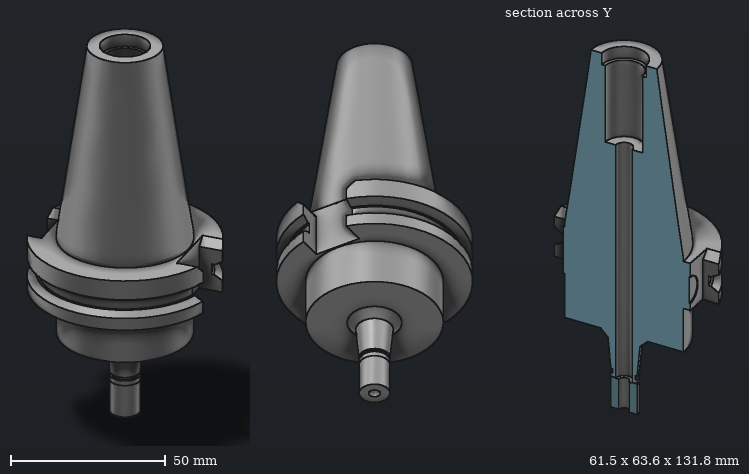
import cadquery as cq

total_length = 131.8

nut_radius = 5.0
nut_height = 11.5
nut_opening_radius = 1.8

collar_height = 1.7
neck_groove_radius = 4.2
neck_groove_width = 1.2
neck_top_radius = 6.0
neck_top_z = 25.7
neck_flare_radius = 8.8

body_radius = 22.3
body_bottom_z = 28.5
flange_radius = 31.8
flange_bottom_z = 44.8
flange_top_z = 62.6

groove_radius = 28.2
groove_ledge_radius = 29.0
groove_center_z = 52.5
groove_floor_width = 3.5
groove_mouth_width = 6.7

gauge_radius = 22.3
gauge_z = 63.8
taper_ratio = 7 / 24

slot_width = 16.2
slot_chamfer = 2.8
left_slot_distance = 24.8
right_slot_distance = 22.7

recess_radius = 4.9
recess_depth = 0.33

counterbore_radius = 8.2
counterbore_depth = 4.3
thread_bore_radius = 6.9
thread_bore_depth = 33.0
coolant_bore_radius = 3.0

collar_radius = nut_radius
collar_top_z = nut_height + collar_height
neck_groove_top_z = collar_top_z + neck_groove_width
taper_length = total_length - gauge_z
taper_top_radius = gauge_radius - taper_length * taper_ratio / 2


def revolve_profile(points):
    """Turn a closed (radius, z) outline around the Z axis."""
    return cq.Workplane("YZ").polyline(points).close().revolve(360, (0, 0, 0), (0, 1, 0))


def cylinder(radius, bottom_z, top_z):
    """Solid cylinder on the Z axis."""
    return cq.Workplane("XY").workplane(offset=bottom_z).circle(radius).extrude(top_z - bottom_z)


def drive_slot(floor_distance, side):
    """Cutter for a drive slot open to the +X (side = 1) or -X (side = -1) edge of the flange."""
    half_width = slot_width / 2
    slot_outline = [
        (-half_width, flange_bottom_z),
        (half_width, flange_bottom_z),
        (half_width, flange_top_z - slot_chamfer),
        (half_width + slot_chamfer, flange_top_z),
        (-half_width - slot_chamfer, flange_top_z),
        (-half_width, flange_top_z - slot_chamfer),
    ]
    floor_plane = cq.Workplane("YZ").workplane(offset=side * floor_distance)
    return floor_plane.polyline(slot_outline).close().extrude(side * flange_radius)


def slot_recess():
    """Cutter for the blind round recess in the left slot floor."""
    floor_plane = cq.Workplane("YZ").workplane(offset=-left_slot_distance)
    return floor_plane.center(0, groove_center_z).circle(recess_radius).extrude(recess_depth)


def make_holder():
    """Turned taper, flange, body and neck, with the slots, recess and bores cut from it."""
    half_floor = groove_floor_width / 2
    half_mouth = groove_mouth_width / 2
    outline = [
        (0, nut_height),
        (collar_radius, nut_height),
        (collar_radius, collar_top_z),
        (neck_groove_radius, collar_top_z),
        (neck_groove_radius, neck_groove_top_z),
        (collar_radius, neck_groove_top_z),
        (neck_top_radius, neck_top_z),
        (neck_flare_radius, body_bottom_z),
        (body_radius, body_bottom_z),
        (body_radius, flange_bottom_z),
        (flange_radius, flange_bottom_z),
        (flange_radius, groove_center_z - half_mouth),
        (groove_ledge_radius, groove_center_z - half_floor),
        (groove_radius, groove_center_z - half_floor),
        (groove_radius, groove_center_z + half_floor),
        (groove_ledge_radius, groove_center_z + half_floor),
        (flange_radius, groove_center_z + half_mouth),
        (flange_radius, flange_top_z),
        (gauge_radius, flange_top_z),
        (gauge_radius, gauge_z),
        (taper_top_radius, total_length),
        (0, total_length),
    ]
    holder = revolve_profile(outline)
    holder = holder.cut(drive_slot(left_slot_distance, -1)).cut(drive_slot(right_slot_distance, 1))
    holder = holder.cut(slot_recess())
    holder = holder.cut(cylinder(counterbore_radius, total_length - counterbore_depth, total_length))
    holder = holder.cut(cylinder(thread_bore_radius, total_length - thread_bore_depth, total_length))
    return holder.cut(cylinder(coolant_bore_radius, nut_height, total_length))


def make_nut():
    """Plain round nut against the lower face of the neck, with a hole through it."""
    nut = cylinder(nut_radius, 0, nut_height)
    return nut.cut(cylinder(nut_opening_radius, 0, nut_height))


holder = make_holder()
nut = make_nut()
result = cq.Compound.makeCompound([holder.val(), nut.val()])